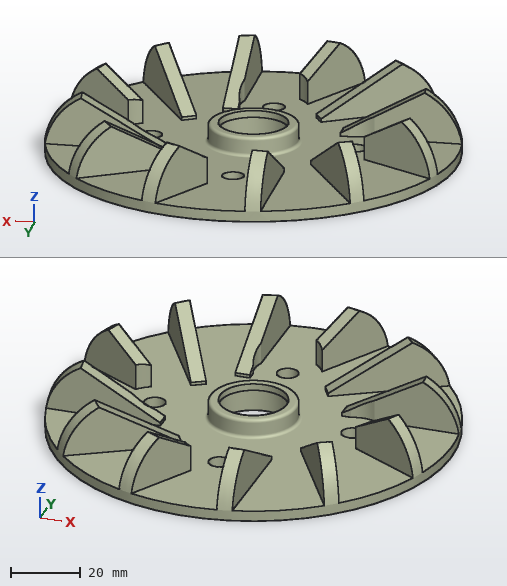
import cadquery as cq
import math

disc_diameter = 120.0
disc_thickness = 3.2
total_height = 18.1
disc_radius = disc_diameter / 2

hub_diameter = 26.2
hub_top = 9.0
hub_edge_round = 1.0
bore_diameter = 22.2
bore_lip_diameter = 20.2
bore_lip_height = 2.0

bolt_count = 4
bolt_hole_diameter = 6.4
bolt_circle_radius = 30.0
bolt_clearance_radius = 10.0

blade_count = 12
blade_thickness = 4.5
blade_offset = 11.5
blade_inner_end = 23.6
blade_inner_height = 1.0
blade_crest = 48.4
crest_radius = 49.2
rim_curve_radius = 20.0


def make_hub():
    """Hub with a rounded top edge and a concave round where it meets the disc."""
    outer = hub_diameter / 2
    diagonal = hub_edge_round * (1 - math.sqrt(0.5))
    return (
        cq.Workplane("XZ")
        .moveTo(0, 0)
        .lineTo(outer + hub_edge_round, 0)
        .lineTo(outer + hub_edge_round, disc_thickness)
        .threePointArc(
            (outer + diagonal, disc_thickness + diagonal),
            (outer, disc_thickness + hub_edge_round),
        )
        .lineTo(outer, hub_top - hub_edge_round)
        .threePointArc((outer - diagonal, hub_top - diagonal), (outer - hub_edge_round, hub_top))
        .lineTo(0, hub_top)
        .close()
        .revolve(360, (0, 0), (0, 1))
    )


def make_envelope():
    """Solid of revolution that bounds the disc and the curved outer ends of the blades."""
    chord_run = disc_radius - crest_radius
    chord_rise = total_height - disc_thickness
    chord = math.hypot(chord_run, chord_rise)
    bulge = rim_curve_radius - math.sqrt(rim_curve_radius**2 - (chord / 2) ** 2)
    arc_middle = (
        (disc_radius + crest_radius) / 2 + bulge * chord_rise / chord,
        (total_height + disc_thickness) / 2 + bulge * chord_run / chord,
    )
    return (
        cq.Workplane("XZ")
        .moveTo(0, 0)
        .lineTo(disc_radius, 0)
        .lineTo(disc_radius, disc_thickness)
        .threePointArc(arc_middle, (crest_radius, total_height))
        .lineTo(0, total_height)
        .close()
        .revolve(360, (0, 0), (0, 1))
    )


def make_blade():
    """Upright plate along +X whose top edge rises outward; its outer end runs past the disc."""
    inner_top = disc_thickness + blade_inner_height
    slope = (total_height - inner_top) / (blade_crest - blade_inner_end)
    outer_end = disc_radius + blade_thickness
    outer_top = inner_top + slope * (outer_end - blade_inner_end)
    return (
        cq.Workplane("XZ", origin=(0, blade_offset + blade_thickness / 2, 0))
        .moveTo(blade_inner_end, disc_thickness)
        .lineTo(outer_end, disc_thickness)
        .lineTo(outer_end, outer_top)
        .lineTo(blade_inner_end, inner_top)
        .close()
        .extrude(blade_thickness)
    )


def make_bladed_disc():
    """Disc carrying the ring of blades, trimmed around the bolt heads and to the envelope."""
    blade = make_blade()
    clearance = bolt_cylinders(bolt_clearance_radius)
    body = cq.Workplane("XY").circle(disc_radius + blade_thickness).extrude(disc_thickness)
    for index in range(blade_count):
        turned_blade = blade.rotate((0, 0, 0), (0, 0, 1), index * 360 / blade_count)
        body = body.union(turned_blade.cut(clearance))
    return body.intersect(make_envelope())


def bolt_cylinders(radius):
    return (
        cq.Workplane("XY")
        .polarArray(bolt_circle_radius, 0, 360, bolt_count)
        .circle(radius)
        .extrude(total_height)
    )


def make_bore():
    """Through bore that narrows to a lip at the top of the hub."""
    lip_opening = cq.Workplane("XY").circle(bore_lip_diameter / 2).extrude(hub_top)
    wide_bore = cq.Workplane("XY").circle(bore_diameter / 2).extrude(hub_top - bore_lip_height)
    return lip_opening.union(wide_bore)


result = make_bladed_disc().union(make_hub())
result = result.cut(make_bore()).cut(bolt_cylinders(bolt_hole_diameter / 2))